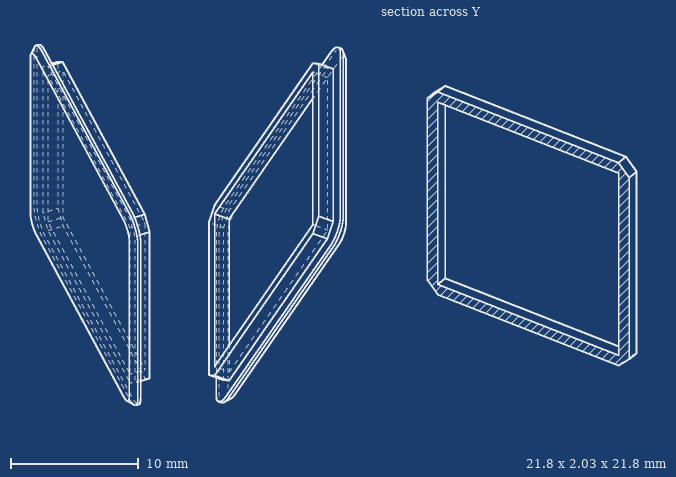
import cadquery as cq

PLATE_SIDE = 21.84
PLATE_THICKNESS = 0.76
PLATE_CORNER_RADIUS = 1.78
PLATE_BEVEL = 0.51

TOTAL_DEPTH = 2.03
FRAME_INSET = 1.27
FRAME_SIDE = PLATE_SIDE - 2 * FRAME_INSET
FRAME_HEIGHT = TOTAL_DEPTH - PLATE_THICKNESS
FRAME_CORNER_CLIP = 1.02
FRAME_WALL = 1.02
POCKET_SIDE = FRAME_SIDE - 2 * FRAME_WALL


def square_block(side, front_y, depth):
    """Square block centred on the Y axis, running from front_y toward +Y."""
    plane = cq.Workplane("XZ", origin=(0, front_y, 0))
    return plane.rect(side, side).extrude(-depth)


def make_plate():
    plate = square_block(PLATE_SIDE, 0, PLATE_THICKNESS)
    plate = plate.edges("|Y").fillet(PLATE_CORNER_RADIUS)
    return plate.faces("<Y").chamfer(PLATE_BEVEL)


def make_frame():
    """Wall standing on the rear of the plate around an open square pocket."""
    block = square_block(FRAME_SIDE, PLATE_THICKNESS, FRAME_HEIGHT)
    block = block.edges("|Y").chamfer(FRAME_CORNER_CLIP)
    pocket = square_block(POCKET_SIDE, PLATE_THICKNESS, FRAME_HEIGHT)
    return block.cut(pocket)


result = make_plate().union(make_frame())